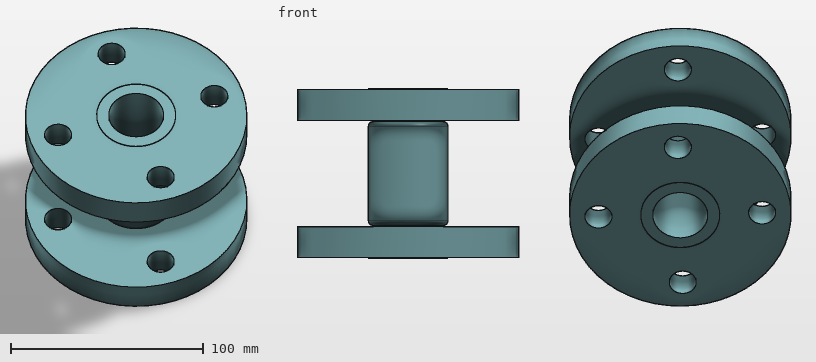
import cadquery as cq
face_to_face = 88.0

flange_diameter = 115.0
flange_thickness = 16.2
raised_face_diameter = 41.0
raised_face_height = 0.3

bolt_circle_diameter = 85.0
bolt_hole_diameter = 14.0
bolt_hole_count = 4
first_bolt_angle = 45.0

body_diameter = 41.5
body_edge_radius = 2.65
neck_height = 0.5
neck_diameter = body_diameter - 2 * body_edge_radius
bore_diameter = 28.5

sealing_face_z = face_to_face / 2
flange_outer_z = sealing_face_z - raised_face_height
flange_inner_z = flange_outer_z - flange_thickness
body_end_z = flange_inner_z - neck_height


def make_body():
    """Round body with rounded ends, centred on the mid-plane."""
    body = cq.Workplane("XY").circle(body_diameter / 2).extrude(body_end_z, both=True)
    return body.edges("%CIRCLE").fillet(body_edge_radius)


def make_neck():
    """Core that joins the flat body ends to the flanges."""
    return cq.Workplane("XY").circle(neck_diameter / 2).extrude(flange_inner_z, both=True)


def make_upper_flange():
    """Drilled flange disc with its raised sealing face."""
    disc = (
        cq.Workplane("XY", origin=(0, 0, flange_inner_z))
        .circle(flange_diameter / 2)
        .extrude(flange_thickness)
    )
    raised_face = (
        cq.Workplane("XY", origin=(0, 0, flange_outer_z))
        .circle(raised_face_diameter / 2)
        .extrude(raised_face_height)
    )
    bolt_holes = (
        cq.Workplane("XY", origin=(0, 0, flange_inner_z))
        .polarArray(bolt_circle_diameter / 2, first_bolt_angle, 360, bolt_hole_count)
        .circle(bolt_hole_diameter / 2)
        .extrude(flange_thickness)
    )
    return disc.cut(bolt_holes).union(raised_face)


def make_bore():
    """Straight passage through the whole part."""
    return cq.Workplane("XY").circle(bore_diameter / 2).extrude(sealing_face_z, both=True)


upper_flange = make_upper_flange()
lower_flange = upper_flange.mirror("XY")

result = make_body().union(make_neck()).union(upper_flange).union(lower_flange).cut(make_bore())